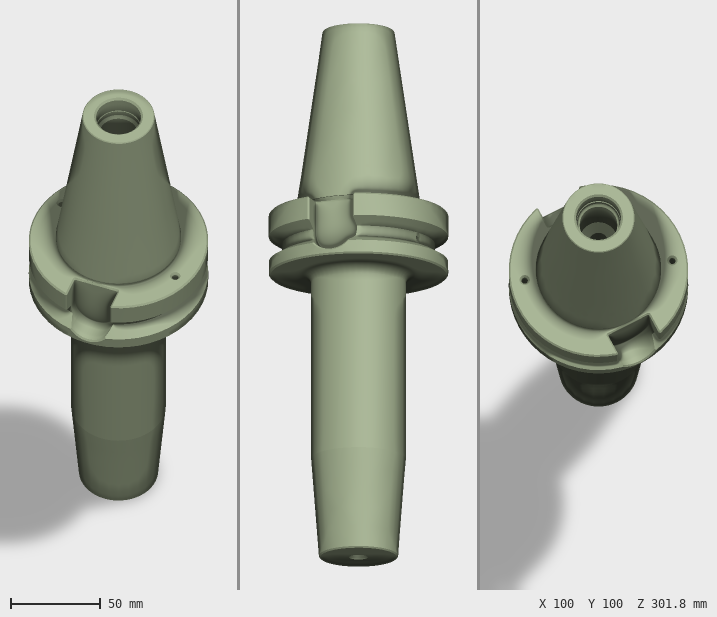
import cadquery as cq
import math


drill_point_half_angle = 59.0
matching_tolerance = 1e-4

gauge_radius = 69.85 / 2
taper_length = 101.8
taper_ratio = 7 / 24
taper_end_chamfer = 0.5
gauge_band_bottom = -0.5
relief_radius = 34.2
relief_fillet_radius = 1.2

flange_radius = 99.97 / 2
flange_top = -3.0
flange_bottom = -38.0
edge_chamfer = 0.9
groove_center_z = -23.2
groove_floor_radius = 42.6
groove_floor_half_height = 2.9
groove_flank_angle = 30.0
groove_overrun = 1.0

neck_blend_radius = 5.0
body_radius = 26.4
nose_start_z = -143.5
nose_end_z = -200.0
nose_end_radius = 22.1
nose_end_chamfer = 0.8

bore_radius = 12.5
bore_depth = 9.7
bore_chamfer = 1.1
relief_bore_radius = 12.0
relief_bore_depth = 12.8
thread_radius = 10.5
thread_lead_in = 1.5
thread_depth = 45.0
coolant_radius = 5.25

slot_half_width = 25.7 / 2
slot_floor_y = 35.5
slot_bottom_z = -34.5
slot_floor_fillet = 0.5

screw_circle_radius = 41.5
screw_angle = 160.0
screw_hole_radius = 1.75
screw_mouth_radius = 2.9
screw_hole_bottom = -28.0
cross_hole_radius = 2.0
cross_hole_start = 38.0


def taper_radius(z):
    return gauge_radius - z * taper_ratio / 2


def drill_point_height(radial_width):
    return radial_width / math.tan(math.radians(drill_point_half_angle))


def revolved(outline):
    """Closes an XZ section and turns it about the Z axis."""
    return outline.close().revolve(360, (0, 0, 0), (0, 1, 0))


def holder_body():
    top_radius = taper_radius(taper_length)
    taper = [
        (0, taper_length),
        (top_radius - taper_end_chamfer, taper_length),
        (top_radius, taper_length - taper_end_chamfer),
        (gauge_radius, 0),
        (gauge_radius, gauge_band_bottom),
        (relief_radius, gauge_band_bottom),
        (relief_radius, flange_top + relief_fillet_radius),
    ]
    flange = [
        (flange_radius, flange_top),
        (flange_radius, flange_bottom + edge_chamfer),
        (flange_radius - edge_chamfer, flange_bottom),
        (body_radius + neck_blend_radius, flange_bottom),
    ]
    nose = [
        (body_radius, nose_start_z),
        (nose_end_radius, nose_end_z + nose_end_chamfer),
        (nose_end_radius - nose_end_chamfer, nose_end_z),
        (0, nose_end_z),
    ]
    outline = (
        cq.Workplane("XZ")
        .polyline(taper)
        .radiusArc((relief_radius + relief_fillet_radius, flange_top), -relief_fillet_radius)
        .polyline(flange, includeCurrent=True)
        .radiusArc((body_radius, flange_bottom - neck_blend_radius), -neck_blend_radius)
        .polyline(nose, includeCurrent=True)
    )
    return revolved(outline)


def gripper_groove():
    outer_radius = flange_radius + groove_overrun
    flank_height = (outer_radius - groove_floor_radius) * math.tan(math.radians(groove_flank_angle))
    outer_half_height = groove_floor_half_height + flank_height
    section = [
        (outer_radius, groove_center_z + outer_half_height),
        (groove_floor_radius, groove_center_z + groove_floor_half_height),
        (groove_floor_radius, groove_center_z - groove_floor_half_height),
        (outer_radius, groove_center_z - outer_half_height),
    ]
    return revolved(cq.Workplane("XZ").polyline(section))


def center_bore():
    """Stepped pilot and thread bore that runs out through a cone into the coolant hole."""
    depth_profile = [
        (bore_radius + bore_chamfer, 0),
        (bore_radius, bore_chamfer),
        (bore_radius, bore_depth),
        (relief_bore_radius, bore_depth),
        (relief_bore_radius, relief_bore_depth),
        (thread_radius, relief_bore_depth + thread_lead_in),
        (thread_radius, thread_depth),
        (coolant_radius, thread_depth + drill_point_height(thread_radius - coolant_radius)),
        (coolant_radius, taper_length - nose_end_z),
    ]
    points = [(r, taper_length - depth) for r, depth in depth_profile]
    section = [(0, taper_length)] + points + [(0, nose_end_z)]
    return revolved(cq.Workplane("XZ").polyline(section))


def drive_slot(angle):
    """Round-ended key slot in the +Y side of the flange, turned about Z by the angle."""
    arc_center_z = slot_bottom_z + slot_half_width
    outline = (
        cq.Workplane("XZ")
        .moveTo(-slot_half_width, 0)
        .lineTo(-slot_half_width, arc_center_z)
        .threePointArc((0, slot_bottom_z), (slot_half_width, arc_center_z))
        .lineTo(slot_half_width, 0)
        .close()
    )
    cutter = outline.extrude(-flange_radius).translate((0, slot_floor_y, 0))
    cutter = cutter.faces("<Y").edges("not >Z").fillet(slot_floor_fillet)
    return cutter.rotate((0, 0, 0), (0, 0, 1), angle)


def screw_hole(angle):
    """Countersunk blind hole from the flange top, with a cross hole out to the groove."""
    mouth_depth = screw_mouth_radius - screw_hole_radius
    section = [
        (0, flange_top),
        (screw_mouth_radius, flange_top),
        (screw_hole_radius, flange_top - mouth_depth),
        (screw_hole_radius, screw_hole_bottom),
        (0, screw_hole_bottom - drill_point_height(screw_hole_radius)),
    ]
    hole = revolved(cq.Workplane("XZ").polyline(section)).translate((screw_circle_radius, 0, 0))
    cross_plane = cq.Workplane("YZ", origin=(cross_hole_start, 0, groove_center_z))
    cross_hole = cross_plane.circle(cross_hole_radius).extrude(flange_radius - cross_hole_start)
    return hole.union(cross_hole).rotate((0, 0, 0), (0, 0, 1), angle)


def is_broken_edge(edge):
    """Outer edges of the flange top and of the drive slot mouths."""
    ends = [edge.startPoint(), edge.endPoint()]
    on_rim = [abs(math.hypot(p.x, p.y) - flange_radius) < matching_tolerance for p in ends]
    at_top = all(abs(p.z - flange_top) < matching_tolerance for p in ends)
    beside_slot = all(abs(p.x) < slot_half_width + matching_tolerance for p in ends)
    top_edge = at_top and any(on_rim)
    slot_mouth_edge = beside_slot and all(on_rim)
    return top_edge or slot_mouth_edge


opposite = 180
result = holder_body()
for slot_angle in (0, opposite):
    result = result.cut(drive_slot(slot_angle))
result = result.edges().filter(is_broken_edge).chamfer(edge_chamfer)
result = result.cut(gripper_groove())
result = result.cut(center_bore())
for hole_angle in (screw_angle, screw_angle + opposite):
    result = result.cut(screw_hole(hole_angle))